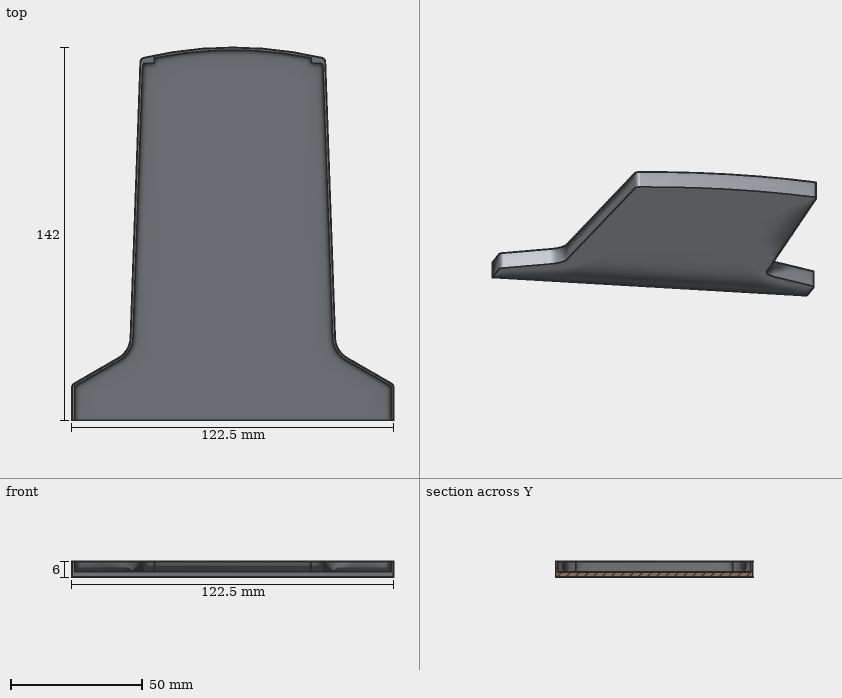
import cadquery as cq
import math

length = 142.0
width = 122.5
height = 6.0
floor_thickness = 2.0
wall = 1.0

foot_side = 13.5
shoulder_angle = 30.0
stem_root_half_width = 39.2
stem_end_half_width = 35.2
crown_rise = 4.3
corner_radius = 2.0
root_radius = 9.0

block_side_x = 30.0
block_front_y = 135.9
block_radius = 0.5
inner_corner_radius = 1.0

foot_half_width = width / 2
shoulder_run = foot_half_width - stem_root_half_width
stem_root_y = foot_side + shoulder_run * math.tan(math.radians(shoulder_angle))
stem_end_y = length - crown_rise


def edges_at(solid, x, y):
    """Vertical edges of the solid passing through (x, y) and its mirror (-x, y)."""
    reach = 0.07

    def box(side):
        return cq.selectors.BoxSelector(
            (side * x - reach, y - reach, -height),
            (side * x + reach, y + reach, 2 * height),
        )

    return solid.edges("|Z").edges(box(-1) + box(1))


def tray_body(front_y):
    """Full-height solid of the rounded outline, with its straight front edge at front_y."""
    body = (
        cq.Workplane("XY")
        .moveTo(-foot_half_width, front_y)
        .lineTo(foot_half_width, front_y)
        .lineTo(foot_half_width, foot_side)
        .lineTo(stem_root_half_width, stem_root_y)
        .lineTo(stem_end_half_width, stem_end_y)
        .threePointArc((0, length), (-stem_end_half_width, stem_end_y))
        .lineTo(-stem_root_half_width, stem_root_y)
        .lineTo(-foot_half_width, foot_side)
        .close()
        .extrude(height)
    )
    body = edges_at(body, foot_half_width, foot_side).fillet(corner_radius)
    body = edges_at(body, stem_end_half_width, stem_end_y).fillet(corner_radius)
    return edges_at(body, stem_root_half_width, stem_root_y).fillet(root_radius)


def tray_cavity():
    """Space inside the wall, open at the front, with the corner blocks left standing."""
    outline = tray_body(-wall).faces("<Z").wires().val()
    cavity = (
        cq.Workplane("XY")
        .add(outline)
        .toPending()
        .offset2D(-wall)
        .extrude(height)
        .translate((0, 0, floor_thickness))
    )
    for side in (-1, 1):
        block = (
            cq.Workplane("XY")
            .moveTo(side * block_side_x, block_front_y)
            .lineTo(side * foot_half_width, block_front_y)
            .lineTo(side * foot_half_width, length)
            .lineTo(side * block_side_x, length)
            .close()
            .extrude(3 * height)
        )
        cavity = cavity.cut(block)
    cavity = edges_at(cavity, block_side_x, block_front_y).fillet(block_radius)

    taper = (stem_root_half_width - stem_end_half_width) / (stem_end_y - stem_root_y)
    stem_half_width = stem_end_half_width + taper * (stem_end_y - block_front_y)
    inner_half_width = stem_half_width - wall * math.hypot(1, taper)
    return edges_at(cavity, inner_half_width, block_front_y).fillet(inner_corner_radius)


result = tray_body(0).cut(tray_cavity())